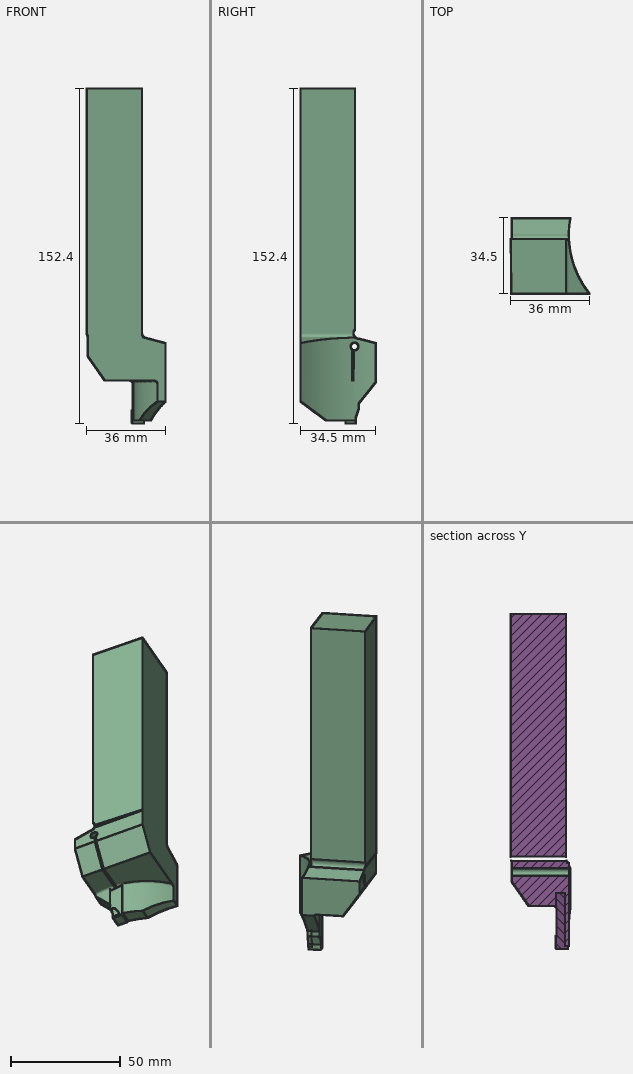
import cadquery as cq
import math

TOTAL_X = 36.0
TOTAL_Y = 34.5
TOTAL_Z = 152.4

SHANK_SIZE = 25.0
SHANK_RIGHT = 25.3
SHANK_LEFT_FRONT = SHANK_RIGHT - SHANK_SIZE
SHANK_LEFT_BACK = 0.0

HEAD_LEFT = 0.5
STEP_LOW = 39.8
STEP_HIGH = 40.8
HEAD_BOTTOM = 19.5
SHOULDER_SLOPE = math.tan(math.radians(15))
SHOULDER_END_Z = 36.5
SHOULDER_FILLET = 1.8
UNDERCUT_RADIUS = 2.5
UNDERCUT_DEPTH = 0.12
UNDERCUT_Y = 26.7
CHAMFER_TOP = 30.6
CHAMFER_FOOT_X = 8.2

BLADE_BOTTOM = 1.4
BLADE_APEX_Y = 26.7
BLADE_INNER_X = 20.9
BLADE_INNER_FRONT_X = 32.2
BLADE_OUTER_X = 26.5
BLADE_FRONT_CORNER_Z = 10.0
BLADE_FLAT_START_Y = 11.7
BLADE_BACK_CORNER_Z = 18.9
BLADE_BACK_FOOT_Y = 26.7
BLADE_BACK_FOOT_Z = 9.1
ROOT_FILLET = 1.2

HOLE_Y = 24.7
HOLE_Z = 35.0
HOLE_RADIUS = 1.7
SLIT_Y = 24.0
SLIT_WIDTH = 0.8

INSERT_START_Y = 20.5
INSERT_END_Y = 26.7
INSERT_FACE_X = BLADE_INNER_X
INSERT_BACK_X = 24.7
INSERT_TOP = 25.3
NOSE_END_Y = 25.3
NOSE_BACK_X = 26.2
NOSE_STRAIGHT_Z = 2.6
NOSE_SHOULDER_Z = 6.7
RAKE_RISE = 0.38
RAKE_TOP = 6.0
RAKE_ARC_START_Y = 24.5
RAKE_FOOT_Y = 21.6
RAKE_ARC_MID = (23.3, 4.1)
TIP_CHAMFER = 0.5


def extrude_along_x(outline, start, end):
    return outline.extrude(end - start).translate((start, 0, 0))


def extrude_along_y(outline, start, end):
    return outline.extrude(start - end).translate((0, start, 0))


def box_between(low, high):
    size = [b - a for a, b in zip(low, high)]
    return cq.Workplane("XY").box(*size, centered=False).translate(low)


def upright_cylinder(apex_x, front_x):
    """Cylinder along Z whose -X apex and whose crossing of Y = 0 are given."""
    rise = front_x - apex_x
    radius = (BLADE_APEX_Y**2 + rise**2) / (2 * rise)
    return cq.Workplane("XY").center(apex_x + radius, BLADE_APEX_Y).circle(radius).extrude(TOTAL_Z)


def holder_blank():
    """Shank, head and blade stock: two extruded outlines intersected."""
    corner_z = SHOULDER_END_Z + (TOTAL_X - SHANK_RIGHT) * SHOULDER_SLOPE
    side = cq.Workplane("XZ").polyline([
        (SHANK_LEFT_BACK, TOTAL_Z),
        (SHANK_RIGHT, TOTAL_Z),
        (SHANK_RIGHT, corner_z),
        (TOTAL_X, SHOULDER_END_Z),
        (TOTAL_X, BLADE_BOTTOM),
        (CHAMFER_FOOT_X, BLADE_BOTTOM),
        (CHAMFER_FOOT_X, HEAD_BOTTOM),
        (HEAD_LEFT, CHAMFER_TOP),
        (HEAD_LEFT, STEP_LOW),
        (SHANK_LEFT_BACK, STEP_HIGH),
    ]).close()
    side = extrude_along_y(side, 0, TOTAL_Y)
    inner_corner = cq.selectors.NearestToPointSelector((SHANK_RIGHT, TOTAL_Y / 2, corner_z))
    side = side.edges(inner_corner).fillet(SHOULDER_FILLET)

    back_corner_z = SHOULDER_END_Z + (TOTAL_Y - SHANK_SIZE) * SHOULDER_SLOPE
    face = cq.Workplane("YZ").polyline([
        (0, TOTAL_Z),
        (SHANK_SIZE, TOTAL_Z),
        (SHANK_SIZE, back_corner_z),
        (TOTAL_Y, SHOULDER_END_Z),
        (TOTAL_Y, BLADE_BACK_CORNER_Z),
        (BLADE_BACK_FOOT_Y, BLADE_BACK_FOOT_Z),
        (INSERT_END_Y, NOSE_SHOULDER_Z),
        (NOSE_END_Y, NOSE_STRAIGHT_Z),
        (NOSE_END_Y, BLADE_BOTTOM),
        (BLADE_FLAT_START_Y, BLADE_BOTTOM),
        (0, BLADE_FRONT_CORNER_Z),
    ]).close()
    return side.intersect(extrude_along_x(face, 0, TOTAL_X))


def shank_taper():
    """Thin wedge removed so that the -X shank face leans slightly in Y."""
    wedge = cq.Workplane("XY").polyline([
        (SHANK_LEFT_BACK, 0),
        (SHANK_LEFT_FRONT, 0),
        (SHANK_LEFT_BACK, SHANK_SIZE),
    ]).close()
    return wedge.extrude(TOTAL_Z)


def undercut():
    """Round groove along X, sunk slightly into the back shoulder."""
    shoulder_z = SHOULDER_END_Z + (TOTAL_Y - UNDERCUT_Y) * SHOULDER_SLOPE
    center_z = shoulder_z + (UNDERCUT_RADIUS - UNDERCUT_DEPTH) * math.hypot(1, SHOULDER_SLOPE)
    groove = cq.Workplane("YZ").center(UNDERCUT_Y, center_z).circle(UNDERCUT_RADIUS)
    return extrude_along_x(groove, 0, TOTAL_X)


def blade_clearance():
    """Space below the head, in front of the curved blade, with a rounded root."""
    below = box_between((-TOTAL_X, -TOTAL_Y, 0), (TOTAL_X, 2 * TOTAL_Y, HEAD_BOTTOM))
    space = below.cut(upright_cylinder(BLADE_INNER_X, BLADE_INNER_FRONT_X))
    return space.faces(">Z").edges("%CIRCLE").fillet(ROOT_FILLET)


def clamping_slit():
    hole = cq.Workplane("YZ").center(HOLE_Y, HOLE_Z).circle(HOLE_RADIUS)
    slit = box_between(
        (0, SLIT_Y - SLIT_WIDTH / 2, HEAD_BOTTOM),
        (TOTAL_X, SLIT_Y + SLIT_WIDTH / 2, HOLE_Z),
    )
    return extrude_along_x(hole, 0, TOTAL_X).union(slit)


def make_insert():
    """Long insert with a narrowed nose and a raised rake face."""
    outline = [
        (INSERT_START_Y, 0),
        (NOSE_END_Y, 0),
        (NOSE_END_Y, NOSE_STRAIGHT_Z),
        (INSERT_END_Y, NOSE_SHOULDER_Z),
        (INSERT_END_Y, INSERT_TOP),
        (INSERT_START_Y, INSERT_TOP),
    ]
    profile = cq.Workplane("YZ").polyline(outline).close()
    body = extrude_along_x(profile, INSERT_FACE_X, INSERT_BACK_X)
    overhang = box_between(
        (INSERT_BACK_X, INSERT_START_Y, 0),
        (NOSE_BACK_X, NOSE_END_Y, BLADE_BOTTOM),
    )
    rake = (
        cq.Workplane("YZ")
        .moveTo(RAKE_FOOT_Y, 0)
        .lineTo(INSERT_END_Y, 0)
        .lineTo(INSERT_END_Y, RAKE_TOP)
        .lineTo(RAKE_ARC_START_Y, RAKE_TOP)
        .threePointArc(RAKE_ARC_MID, (RAKE_FOOT_Y, 0))
        .close()
    )
    rake = extrude_along_x(rake, INSERT_FACE_X - RAKE_RISE, INSERT_FACE_X)
    rake_limits = cq.Workplane("YZ").polyline(outline).close().extrude(TOTAL_X)
    blank = body.union(overhang).union(rake.intersect(rake_limits))

    tip_x = INSERT_FACE_X - RAKE_RISE
    tip_chamfer = cq.Workplane("XZ").polyline([
        (tip_x, 0),
        (tip_x + TIP_CHAMFER, 0),
        (tip_x, TIP_CHAMFER),
    ]).close()
    return blank.cut(extrude_along_y(tip_chamfer, INSERT_START_Y, INSERT_END_Y))


def make_holder(insert):
    holder = holder_blank().cut(shank_taper()).cut(undercut())
    holder = holder.cut(upright_cylinder(BLADE_OUTER_X, TOTAL_X))
    holder = holder.cut(blade_clearance())
    return holder.cut(clamping_slit()).cut(insert)


insert = make_insert()
holder = make_holder(insert)
result = cq.Compound.makeCompound([holder.val(), insert.val()])